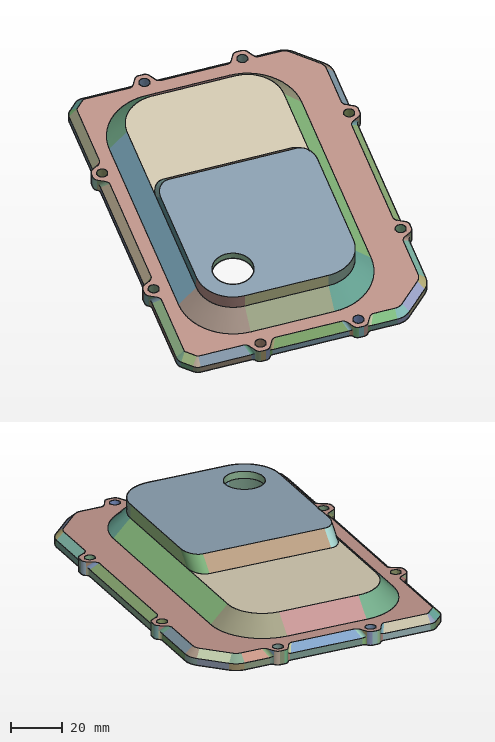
import cadquery as cq
import math

flange_height = 6.0
plateau_height = 13.2
total_height = 19.2

flange_length = 148.0
flange_width = 105.0
edge_chamfer = 3.2
edge_chamfer_height = 2.96
back_corner_cut = 14.0
back_corner_radius = 7.9
front_corner_cut = 6.0
front_corner_radius = 4.0

tab_reach = 2.0
tab_flat_half = 0.99
tab_corner_radius = 2.3
tab_side_angle = math.radians(60)
tab_root_radius = 1.5
tab_depth = 7.6
selection_margin = 0.2
screw_hole_diameter = 4.3
screw_hole_inset = 4.1
short_side_tab_spacing = 40.0
long_side_tab_spacing = 63.8

plateau_length = 115.7
plateau_width = 64.0
plateau_radius = 14.9
plateau_center_y = -4.5
flank_angle = 45
plateau_flank = (plateau_height - flange_height) * math.tan(math.radians(flank_angle))

step_foot_x = -15.2
step_height = total_height - plateau_height
step_corner_radius = 5.8

roof_thickness = 3.0
wall_inset = 1.8
port_diameter = 16.3
port_x = plateau_length / 2 - plateau_radius
port_y = plateau_center_y - plateau_width / 2 + plateau_radius


def rounded_block(length, width, radius, bottom, top, flank_angle=0):
    """Block with rounded corners, centred on the plateau; its flanks lean in by flank_angle degrees."""
    outline = cq.Sketch().rect(length, width).vertices().fillet(radius)
    base = cq.Workplane("XY", origin=(0, plateau_center_y, bottom))
    return base.placeSketch(outline).extrude(top - bottom, taper=flank_angle)


def make_flange_plate():
    """Plate with cut, rounded corners and a chamfered top edge."""
    x = flange_length / 2
    y = flange_width / 2
    back = back_corner_cut
    front = front_corner_cut
    outline = [
        (-x + front, -y), (x - front, -y), (x, -y + front), (x, y - back),
        (x - back, y), (-x + back, y), (-x, y - back), (-x, -y + front),
    ]
    plate = cq.Workplane("XY").polyline(outline).close().extrude(flange_height)
    plate = plate.edges("|Z").filter(lambda edge: edge.Center().y > 0).fillet(back_corner_radius)
    front_edges = plate.edges("|Z").filter(lambda edge: edge.Center().y < 0)
    plate = front_edges.fillet(front_corner_radius)
    return plate.faces(">Z").chamfer(edge_chamfer_height, edge_chamfer)


def make_tab():
    """Tab pointing along +Y with its tip on the X axis; its inner end lies inside the plate."""
    angle = tab_side_angle
    mid_x = tab_flat_half + tab_corner_radius * math.sin(angle / 2)
    mid_y = -tab_corner_radius * (1 - math.cos(angle / 2))
    side_x = tab_flat_half + tab_corner_radius * math.sin(angle)
    side_y = -tab_corner_radius * (1 - math.cos(angle))
    inner_x = side_x + (tab_depth + side_y) / math.tan(angle)
    return (
        cq.Workplane("XY")
        .moveTo(-tab_flat_half, 0)
        .lineTo(tab_flat_half, 0)
        .threePointArc((mid_x, mid_y), (side_x, side_y))
        .lineTo(inner_x, -tab_depth)
        .lineTo(-inner_x, -tab_depth)
        .lineTo(-side_x, side_y)
        .threePointArc((-mid_x, mid_y), (-tab_flat_half, 0))
        .close()
        .extrude(flange_height)
    )


def place_on_sides(feature):
    """Copies of a +Y-facing feature at the eight tab tips, two on each side of the flange."""
    copies = cq.Workplane("XY")
    for turn, side_size, spacing in [
        (0, flange_width, long_side_tab_spacing),
        (90, flange_length, short_side_tab_spacing),
        (180, flange_width, long_side_tab_spacing),
        (270, flange_length, short_side_tab_spacing),
    ]:
        tip_distance = side_size / 2 + tab_reach
        for offset in (-spacing / 2, spacing / 2):
            copy = feature.translate((offset, tip_distance, 0)).rotate((0, 0, 0), (0, 0, 1), turn)
            copies = copies.add(copy)
    return copies


def make_flange():
    """Plate joined to its tabs, with the corner beside each tab rounded."""
    flange = make_flange_plate()
    for tab in place_on_sides(make_tab()).vals():
        flange = flange.union(cq.Workplane(tab))
    root_zone = cq.Workplane("XY", origin=(0, -tab_reach - edge_chamfer / 2, flange_height / 2)).box(
        2 * tab_depth,
        edge_chamfer + selection_margin,
        flange_height + selection_margin,
    )
    for zone in place_on_sides(root_zone).vals():
        box = zone.BoundingBox()
        low_corner = (box.xmin, box.ymin, box.zmin)
        high_corner = (box.xmax, box.ymax, box.zmax)
        root_edges = cq.selectors.BoxSelector(low_corner, high_corner, boundingbox=True)
        flange = flange.edges(root_edges).fillet(tab_root_radius)
    return flange


def make_plateau():
    """Rounded plateau whose flanks spread out down to the flange."""
    return rounded_block(
        plateau_length + 2 * plateau_flank,
        plateau_width + 2 * plateau_flank,
        plateau_radius + plateau_flank,
        flange_height,
        plateau_height,
        flank_angle,
    )


def make_step():
    """Step flush with the plateau on three sides, with a 45 degree slope facing -X."""
    y_front = plateau_center_y - plateau_width / 2
    x_end = plateau_length / 2
    wedge = (
        cq.Workplane("XZ", origin=(0, y_front, 0))
        .moveTo(step_foot_x, plateau_height)
        .lineTo(x_end, plateau_height)
        .lineTo(x_end, total_height)
        .lineTo(step_foot_x + step_height, total_height)
        .close()
        .extrude(-plateau_width)
    )
    wedge = wedge.faces("<X").edges("|(1,0,1)").fillet(step_corner_radius)
    return wedge.edges("|Z").fillet(plateau_radius)


def make_cavity():
    """Straight-walled cavity, open below, that leaves an even roof under plateau and step."""
    length = plateau_length - 2 * wall_inset
    width = plateau_width - 2 * wall_inset
    radius = plateau_radius - wall_inset
    low_part = rounded_block(length, width, radius, 0, plateau_height - roof_thickness)
    high_part = rounded_block(length, width, radius, 0, total_height - roof_thickness)
    return low_part.union(high_part.intersect(make_step().translate((0, 0, -roof_thickness))))


def make_holes():
    """Cutters for the port through the step and the screw hole in each tab."""
    screw_hole = (
        cq.Workplane("XY")
        .center(0, -screw_hole_inset)
        .circle(screw_hole_diameter / 2)
        .extrude(flange_height)
    )
    holes = cq.Workplane("XY").center(port_x, port_y).circle(port_diameter / 2).extrude(total_height)
    for hole in place_on_sides(screw_hole).vals():
        holes = holes.union(cq.Workplane(hole))
    return holes


cover = make_flange().union(make_plateau()).union(make_step())
result = cover.cut(make_cavity()).cut(make_holes())